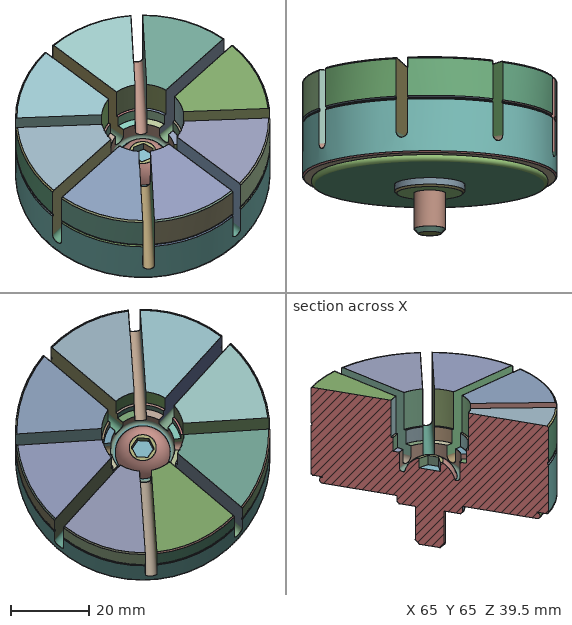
import cadquery as cq
import math

total_height = 39.5
jaw_thickness = 10.45
neck_thickness = 0.25
base_thickness = 14.25
ring_thickness = 1.8
collar_thickness = 2.2

jaw_bottom = total_height - jaw_thickness
neck_bottom = jaw_bottom - neck_thickness
base_bottom = neck_bottom - base_thickness
ring_bottom = base_bottom - ring_thickness
collar_bottom = ring_bottom - collar_thickness

body_radius = 32.5
ring_radius = 30.2
collar_radius = 9.0
shank_radius = 4.0

body_chamfer = 0.4
groove_chamfer = 0.3
collar_chamfer = 0.5
shank_chamfer = 1.2

jaw_bore_radius = 10.5
base_bore_radius = 9.95
ledge_depth = 14.3
screw_bore_radius = 8.2
floor_depth = 19.6
floor_fillet = 0.8

slot_count = 8
slot_width = 3.0
slot_depth = 20.85
slot_slope = 5.0
first_slot_angle = 180.0 / slot_count

head_radius = 7.0
head_flat_radius = 3.45
head_height = 4.4
socket_across_flats = 5.0
socket_depth = 2.6


def disc(radius, bottom, thickness):
    """Plain cylinder on the Z axis."""
    return cq.Workplane("XY").workplane(offset=bottom).circle(radius).extrude(thickness)


def make_ring():
    """Ring under the base with a fully rounded, half-circle edge."""
    edge_radius = ring_thickness / 2
    straight_radius = ring_radius - edge_radius
    return (
        cq.Workplane("XZ")
        .moveTo(0, ring_bottom)
        .lineTo(straight_radius, ring_bottom)
        .threePointArc((ring_radius, ring_bottom + edge_radius), (straight_radius, base_bottom))
        .lineTo(0, base_bottom)
        .close()
        .revolve(360, (0, 0), (0, 1))
    )


def make_outer_body():
    """Stacked plates, neck, ring, collar and shank, before the bore and slots are cut."""
    jaws = disc(body_radius, jaw_bottom, jaw_thickness)
    jaws = jaws.faces(">Z").chamfer(body_chamfer).faces("<Z").chamfer(groove_chamfer)
    neck = disc(body_radius - groove_chamfer, neck_bottom, neck_thickness)
    base = disc(body_radius, base_bottom, base_thickness)
    base = base.faces(">Z").chamfer(groove_chamfer).faces("<Z").chamfer(body_chamfer)
    collar = disc(collar_radius, collar_bottom, collar_thickness).faces("<Z").chamfer(collar_chamfer)
    shank = disc(shank_radius, 0, collar_bottom).faces("<Z").chamfer(shank_chamfer)
    return jaws.union(neck).union(base).union(make_ring()).union(collar).union(shank)


def make_bore():
    """Three-step bore; the bottom edge of the deepest step is rounded."""
    jaw_bore = disc(jaw_bore_radius, jaw_bottom, jaw_thickness)
    base_bore = disc(base_bore_radius, total_height - ledge_depth, ledge_depth)
    screw_bore = disc(screw_bore_radius, total_height - floor_depth, floor_depth)
    screw_bore = screw_bore.faces("<Z").fillet(floor_fillet)
    return screw_bore.union(base_bore).union(jaw_bore)


def make_slot():
    """Round-bottomed slot along +X whose floor rises toward the centre."""
    half_width = slot_width / 2
    floor = total_height - slot_depth
    arc_center = floor + half_width
    slot_top = total_height + slot_depth
    overrun = slot_width
    slot = (
        cq.Workplane("YZ")
        .moveTo(-half_width, slot_top)
        .lineTo(-half_width, arc_center)
        .threePointArc((0, floor), (half_width, arc_center))
        .lineTo(half_width, slot_top)
        .close()
        .extrude(body_radius + overrun)
    )
    rim_floor = (body_radius, 0, floor)
    rim_floor_axis_end = (body_radius, 1, floor)
    return slot.rotate(rim_floor, rim_floor_axis_end, slot_slope)


def make_screw_head():
    """Domed head standing on the bore floor, with a hexagon socket."""
    seat = total_height - floor_depth
    head_top = seat + head_height
    center_below_top = (head_radius**2 + head_height**2 - head_flat_radius**2) / (2 * head_height)
    dome_center = head_top - center_below_top
    dome_radius = math.hypot(head_flat_radius, center_below_top)
    middle_radius = (head_radius + head_flat_radius) / 2
    middle_height = dome_center + math.sqrt(dome_radius**2 - middle_radius**2)
    head = (
        cq.Workplane("XZ")
        .moveTo(0, seat)
        .lineTo(head_radius, seat)
        .threePointArc((middle_radius, middle_height), (head_flat_radius, head_top))
        .lineTo(0, head_top)
        .close()
        .revolve(360, (0, 0), (0, 1))
    )
    across_corners = socket_across_flats / math.cos(math.radians(30))
    socket = (
        cq.Workplane("XY")
        .workplane(offset=head_top - socket_depth)
        .polygon(6, across_corners)
        .extrude(socket_depth)
        .rotate((0, 0, 0), (0, 0, 1), 30)
    )
    return head.cut(socket)


body = make_outer_body().cut(make_bore())
slot = make_slot()
for index in range(slot_count):
    angle = first_slot_angle + index * 360.0 / slot_count
    body = body.cut(slot.rotate((0, 0, 0), (0, 0, 1), angle))

result = body.union(make_screw_head())